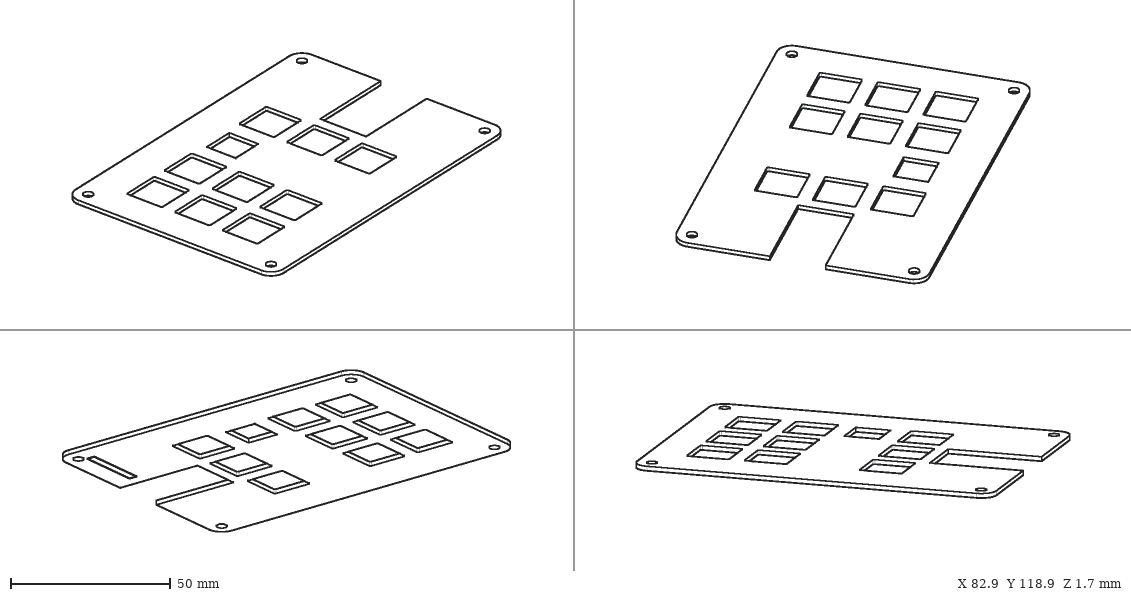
import cadquery as cq

PLATE_WIDTH = 82.91
PLATE_LENGTH = 118.94
TOTAL_HEIGHT = 1.7
PAD_HEIGHT = 0.2
PLATE_THICKNESS = TOTAL_HEIGHT - PAD_HEIGHT
CORNER_RADIUS = 5.0

SCREW_DIAMETER = 3.4
SCREW_INSET = CORNER_RADIUS

KEY_SIZE = 14.0
KEY_CORNER_RADIUS = 0.5
KEY_PITCH = 19.05
KEY_COLUMNS = (-1, 0, 1)
KEY_ROWS = (1, -1, -2)
KEY_CENTER_X = -1.04
FREE_ROW_Y = -1.7

WINDOW_SIZE = 11.5
WINDOW_X = KEY_CENTER_X - KEY_PITCH
WINDOW_Y = -1.85

NOTCH_WIDTH = 18.3
NOTCH_DEPTH = 30.9
NOTCH_CENTER_X = 0.25

PAD_LENGTH = 21.5
PAD_WIDTH = 2.8
PAD_LEFT_INSET = 6.3
PAD_BACK_INSET = 7.5


def make_plate():
    """Rounded plate with its underside at Z = 0."""
    plate = cq.Workplane("XY").box(
        PLATE_WIDTH, PLATE_LENGTH, PLATE_THICKNESS, centered=(True, True, False)
    )
    return plate.edges("|Z").fillet(CORNER_RADIUS)


def through_cutter(width, length, x, y):
    """Rectangular block as thick as the plate, centred at (x, y)."""
    block = cq.Workplane("XY").box(width, length, PLATE_THICKNESS, centered=(True, True, False))
    return block.translate((x, y, 0))


def cut_screw_holes(body):
    """Four through holes near the plate corners."""
    spacing_x = PLATE_WIDTH - 2 * SCREW_INSET
    spacing_y = PLATE_LENGTH - 2 * SCREW_INSET
    holes = cq.Workplane("XY").rect(spacing_x, spacing_y, forConstruction=True).vertices()
    return body.cut(holes.circle(SCREW_DIAMETER / 2).extrude(PLATE_THICKNESS))


def cut_key_openings(body):
    """Grid of square openings with slightly rounded corners."""
    for row in KEY_ROWS:
        for column in KEY_COLUMNS:
            x = KEY_CENTER_X + column * KEY_PITCH
            y = FREE_ROW_Y + row * KEY_PITCH
            opening = through_cutter(KEY_SIZE, KEY_SIZE, x, y)
            body = body.cut(opening.edges("|Z").fillet(KEY_CORNER_RADIUS))
    return body


def cut_window(body):
    """Sharp-cornered square window in the free row."""
    return body.cut(through_cutter(WINDOW_SIZE, WINDOW_SIZE, WINDOW_X, WINDOW_Y))


def cut_notch(body):
    """Rectangular notch from the +Y edge."""
    notch_y = PLATE_LENGTH / 2 - NOTCH_DEPTH / 2
    return body.cut(through_cutter(NOTCH_WIDTH, NOTCH_DEPTH, NOTCH_CENTER_X, notch_y))


def add_pad(body):
    """Thin rectangular pad below the plate, near the -X +Y corner."""
    pad_x = -PLATE_WIDTH / 2 + PAD_LEFT_INSET + PAD_LENGTH / 2
    pad_y = PLATE_LENGTH / 2 - PAD_BACK_INSET - PAD_WIDTH / 2
    pad = cq.Workplane("XY").center(pad_x, pad_y).rect(PAD_LENGTH, PAD_WIDTH).extrude(-PAD_HEIGHT)
    return body.union(pad)


result = make_plate()
result = cut_screw_holes(result)
result = cut_key_openings(result)
result = cut_window(result)
result = cut_notch(result)
result = add_pad(result)